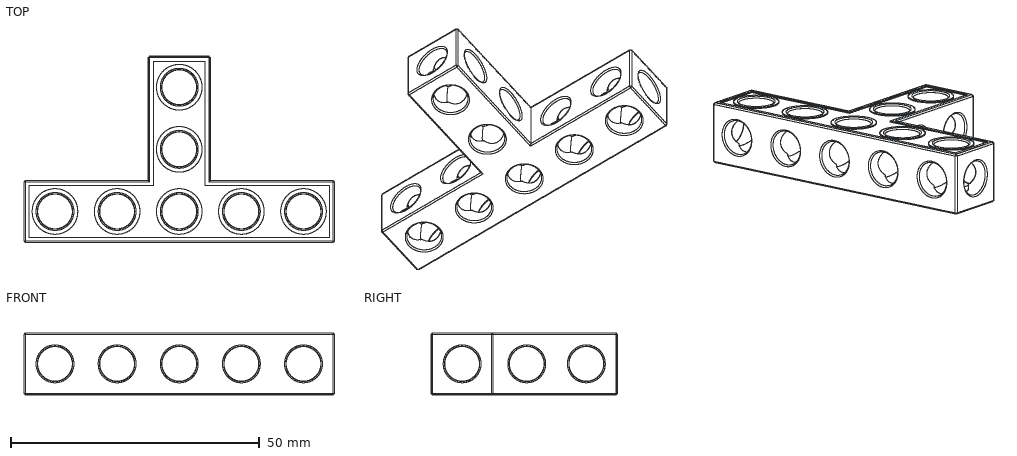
import cadquery as cq

pitch = 12.5
bar_cells = 5
stem_cells = 2
hole_diameter = 7.0
hole_chamfer = 0.3
edge_chamfer = 0.3
rim_diameter = 9.2
border_width = 1.05
recess_depth = 0.2
inner_cross_shift = 0.5

bar_length = bar_cells * pitch
half_bar = bar_length / 2
half_width = pitch / 2
total_depth = (stem_cells + 1) * pitch
stem_middle = total_depth / 2 - half_width
recess_floor = half_width - recess_depth

bar_centers = [(i - (bar_cells - 1) / 2) * pitch for i in range(bar_cells)]
stem_centers = [(i + 1) * pitch for i in range(stem_cells)]
cell_centers = [(x, 0) for x in bar_centers] + [(0, y) for y in stem_centers]


def chamfered_box(length, depth, y):
    """Full-height box with every edge chamfered, centred at the given Y."""
    box = cq.Workplane("XY").box(length, depth, pitch)
    return box.edges().chamfer(edge_chamfer).translate((0, y, 0))


def make_body():
    """Tee of two chamfered boxes, so its two inner corners stay sharp."""
    bar = chamfered_box(bar_length, pitch, 0)
    stem = chamfered_box(pitch, total_depth, stem_middle)
    return bar.union(stem).clean()


def make_recess():
    """Shallow tee-shaped cutter for the top face, with a rim kept around each hole."""
    floor = cq.Workplane("XY", origin=(0, 0, recess_floor))
    bar = floor.rect(bar_length - 2 * border_width, pitch - 2 * border_width).extrude(recess_depth)
    stem = (
        floor.center(0, stem_middle)
        .rect(pitch - 2 * border_width, total_depth - 2 * border_width)
        .extrude(recess_depth)
    )
    rims = floor.pushPoints(cell_centers).circle(rim_diameter / 2).extrude(recess_depth)
    return bar.union(stem).cut(rims)


def through_hole(start, direction, length):
    """Cutter for a round hole, starting on one face, with both mouths chamfered."""
    radius = hole_diameter / 2
    mouth_radius = radius + hole_chamfer
    start = cq.Vector(*start)
    direction = cq.Vector(*direction)
    end = start + direction * length
    bore = cq.Solid.makeCylinder(radius, length, start, direction)
    near_mouth = cq.Solid.makeCone(mouth_radius, radius, hole_chamfer, start, direction)
    far_mouth = cq.Solid.makeCone(mouth_radius, radius, hole_chamfer, end, -direction)
    return bore.fuse(near_mouth, far_mouth)


result = make_body().cut(make_recess())

for x, y in cell_centers:
    result = result.cut(through_hole((x, y, -half_width), (0, 0, 1), pitch))

for x in bar_centers:
    hole_length = total_depth if x == 0 else pitch
    result = result.cut(through_hole((x, -half_width, 0), (0, 1, 0), hole_length))

result = result.cut(through_hole((-half_bar, 0, 0), (1, 0, 0), bar_length))

for i, y in enumerate(stem_centers):
    hole_y = y + inner_cross_shift if i == 0 else y
    result = result.cut(through_hole((-half_width, hole_y, 0), (1, 0, 0), pitch))